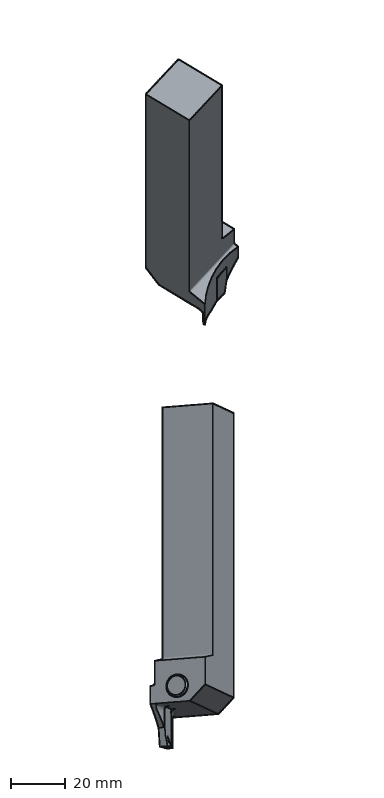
import cadquery as cq
import math

total_height = 126.4
shank_side = 20.0
head_width = 27.0
head_depth = 27.4
head_bottom = 14.7
side_shoulder_z = 21.7
rear_shoulder_z = 32.6
shoulder_drop = 2.0
shoulder_fillet = 0.8
heel_width = 6.1
heel_height = 5.7

flank_low_x = 21.0
flank_low_y = 20.1

blade_face_x = 18.6
blade_face_y = 18.3
blade_front_thickness = 0.6
blade_bottom = 1.1
bevel_start_y = 10.2
bevel_height = 7.1
blade_fillet = 1.9

screw_x = 11.0
screw_z = 20.6
screw_diameter = 8.5
screw_projection = 1.0
screw_chamfer = 0.6

insert_face_x = 18.5
insert_front_y = 15.3
insert_rear_y = 21.4
insert_rear_bottom = 6.8
insert_bottom = 0.4
edge_y = 20.2
tip_side_relief = 0.6
tip_front_y = 16.8
tip_shoulder_y = 18.7
tip_height = 4.0
tip_rear_y = edge_y + (insert_rear_y - edge_y) * tip_height / insert_rear_bottom


def arc_x(y, apex_x, apex_y, end_x):
    """X position at y on an arc with its apex at (apex_x, apex_y), passing through (end_x, 0)."""
    rise = end_x - apex_x
    radius = (apex_y ** 2 + rise ** 2) / (2 * rise)
    return apex_x + radius - math.sqrt(radius ** 2 - (y - apex_y) ** 2)


blade_front_x = head_width - blade_front_thickness
flank_rear_x = arc_x(head_depth, flank_low_x, flank_low_y, head_width)
blade_rear_x = arc_x(head_depth, blade_face_x, blade_face_y, blade_front_x)


def side_prism(points, x_start, x_end):
    """Extrude a (y, z) outline along X."""
    return cq.Workplane("YZ").workplane(offset=x_start).polyline(points).close().extrude(x_end - x_start)


def make_head():
    """Offset head with sloping shoulders, a heel chamfer and a concave flank."""
    front_outline = [
        (heel_width, head_bottom),
        (head_width, head_bottom),
        (head_width, side_shoulder_z - shoulder_drop),
        (shank_side, side_shoulder_z),
        (shank_side, total_height),
        (0, total_height),
        (0, head_bottom + heel_height),
    ]
    side_outline = [
        (0, 0),
        (head_depth, 0),
        (head_depth, rear_shoulder_z - shoulder_drop),
        (shank_side, rear_shoulder_z),
        (shank_side, total_height),
        (0, total_height),
    ]
    plan = (
        cq.Workplane("XY")
        .lineTo(head_width, 0)
        .threePointArc((flank_low_x, flank_low_y), (flank_rear_x, head_depth))
        .lineTo(0, head_depth)
        .close()
        .extrude(total_height)
    )
    front = cq.Workplane("XZ").polyline(front_outline).close().extrude(-head_depth)
    head = front.intersect(side_prism(side_outline, 0, head_width)).intersect(plan)
    side_corner = cq.selectors.NearestToPointSelector((shank_side, head_depth / 2, side_shoulder_z))
    rear_corner = cq.selectors.NearestToPointSelector((shank_side / 2, shank_side, rear_shoulder_z))
    head = head.edges(side_corner).fillet(shoulder_fillet)
    return head.edges(rear_corner).fillet(shoulder_fillet)


def add_blade(head):
    """Add the curved blade, blended into the underside of the head."""
    plan = (
        cq.Workplane("XY")
        .moveTo(blade_front_x, 0)
        .lineTo(head_width, 0)
        .threePointArc((flank_low_x, flank_low_y), (flank_rear_x, head_depth))
        .lineTo(blade_rear_x, head_depth)
        .threePointArc((blade_face_x, blade_face_y), (blade_front_x, 0))
        .close()
        .extrude(head_bottom)
    )
    holder = head.union(plan)
    root = cq.selectors.NearestToPointSelector((blade_face_x, blade_face_y, head_bottom))
    holder = holder.edges(root).fillet(blade_fillet)
    below_bevel = [
        (0, 0),
        (0, bevel_height),
        (bevel_start_y, blade_bottom),
        (head_depth, blade_bottom),
        (head_depth, 0),
    ]
    rear_slope = (head_bottom - insert_rear_bottom) / (head_depth - insert_rear_y)
    rear_foot_y = head_depth - head_bottom / rear_slope
    behind_blade = [(rear_foot_y, 0), (head_depth, 0), (head_depth, head_bottom)]
    for waste in (below_bevel, behind_blade):
        holder = holder.cut(side_prism(waste, 0, head_width))
    return holder


def cut_insert_seat(holder):
    """Open a flat-sided seat through the blade, up to the head."""
    seat = [(insert_front_y, 0), (insert_rear_y, 0), (insert_rear_y, head_bottom), (insert_front_y, head_bottom)]
    return holder.cut(side_prism(seat, 0, head_width))


def add_screw_head(holder):
    """Add the chamfered screw head on the rear face."""
    screw_head = (
        cq.Workplane("XZ", origin=(screw_x, head_depth, screw_z))
        .circle(screw_diameter / 2)
        .extrude(-screw_projection)
        .faces(">Y")
        .chamfer(screw_chamfer)
    )
    return holder.union(screw_head)


def make_insert():
    """Upright insert with a slightly wider cutting tip at its lower end."""
    body_outline = [
        (insert_front_y, insert_bottom),
        (edge_y, 0),
        (insert_rear_y, insert_rear_bottom),
        (insert_rear_y, head_bottom),
        (insert_front_y, head_bottom),
    ]
    tip_bottom = insert_bottom * (edge_y - tip_front_y) / (edge_y - insert_front_y)
    tip_outline = [
        (tip_front_y, tip_bottom),
        (edge_y, 0),
        (tip_rear_y, tip_height),
        (tip_shoulder_y, tip_height),
    ]
    body = side_prism(body_outline, insert_face_x, flank_low_x)
    tip = side_prism(tip_outline, insert_face_x - tip_side_relief, flank_low_x)
    taper = (
        cq.Workplane("XZ")
        .moveTo(insert_face_x - tip_side_relief, 0)
        .lineTo(flank_low_x, 0)
        .lineTo(flank_low_x, tip_height)
        .lineTo(insert_face_x, tip_height)
        .close()
        .extrude(-head_depth)
    )
    return body.union(tip.intersect(taper))


holder = add_screw_head(cut_insert_seat(add_blade(make_head())))
insert = make_insert()

result = cq.Compound.makeCompound([holder.solids().val(), insert.solids().val()])